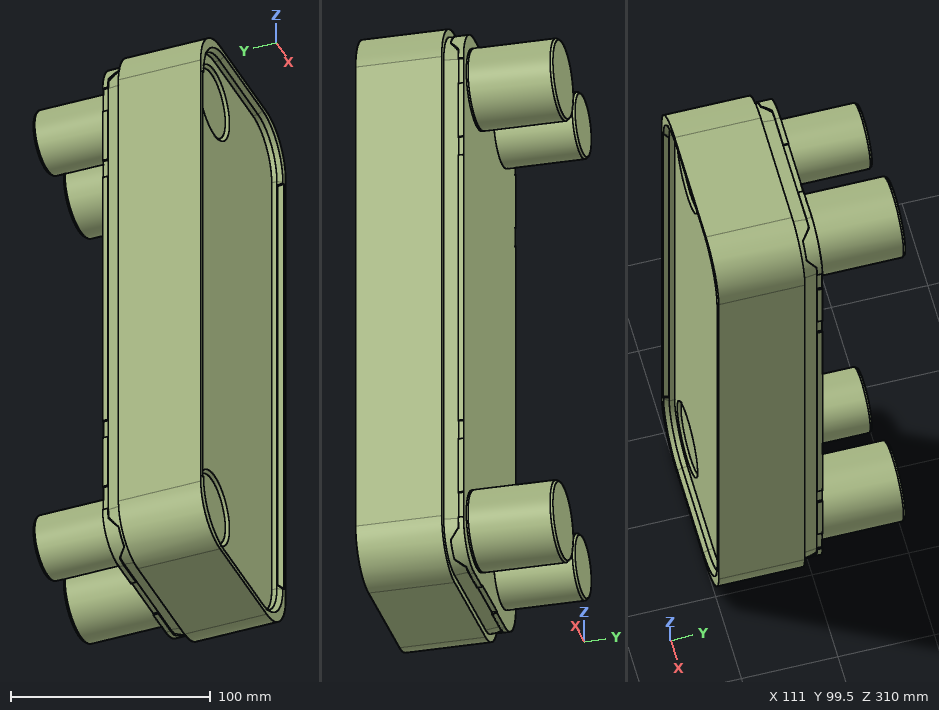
import cadquery as cq
import math


WIDTH = 111.0
HEIGHT = 310.0
CORNER_RADIUS = 25.0
PACK_DEPTH = 44.5
SHOULDER = 4.0
SKIRT_TOP_Y = 52.0
SKIRT_TAPER = 7.0

RECESS_WIDTH = 103.5
RECESS_HEIGHT = 304.5
RECESS_RADIUS = 26.7
RECESS_LEAD_DEPTH = 2.5
RECESS_LEAD_INSET = 2.0
RECESS_WALL_DEPTH = 2.8
SIDE_RELIEF = 1.0

PLATE_THICKNESS = 2.8
DIMPLE_DIAMETER = 39.7
DIMPLE_FLOOR_DIAMETER = 36.3
DIMPLE_DEPTH = 1.5

TAB_DEPTH = 4.5
TAB_ROOT_WIDTH = 21.0
TAB_END_WIDTH = 10.2
NOTCH_DEPTH = 1.0
END_NOTCH_LENGTH = 29.0
SIDE_NOTCH_LENGTH = 10.5
SIDE_NOTCH_Z = 80.3
CORNER_NOTCH_INNER_Z = 115.5
BOSS_HEIGHT = 1.0

PORT_X = 25.0
PORT_Z = 125.0
SMALL_PIPE_DIAMETER = 34.0
SMALL_PIPE_TIP_Y = 96.7
LARGE_PIPE_DIAMETER = 42.0
LARGE_PIPE_TIP_Y = 99.5
TIP_CHAMFER_LENGTH = 1.2
TIP_CHAMFER_INSET = 1.0

CORNER_X = WIDTH / 2 - CORNER_RADIUS
CORNER_Z = HEIGHT / 2 - CORNER_RADIUS
SKIRT_WIDTH = WIDTH - 2 * SHOULDER
SKIRT_HEIGHT = HEIGHT - 2 * SHOULDER
SKIRT_RADIUS = CORNER_RADIUS - SHOULDER
RECESS_LEAD_TAPER = math.degrees(math.atan2(RECESS_LEAD_INSET, RECESS_LEAD_DEPTH))
FRONT_PLATE_Y = RECESS_LEAD_DEPTH + RECESS_WALL_DEPTH
BACK_Y = SKIRT_TOP_Y + PLATE_THICKNESS


def facing_back(y):
    """Workplane at depth y that extrudes towards +Y."""
    return cq.Workplane(cq.Plane(origin=(0, y, 0), xDir=(1, 0, 0), normal=(0, 1, 0)))


def rounded_slab(width, height, radius, y, depth, taper=0):
    """Rounded rectangle extruded towards +Y, narrowing by the taper angle."""
    outline = cq.Sketch().rect(width, height).vertices().fillet(radius)
    return facing_back(y).placeSketch(outline).extrude(depth, taper=taper)


def cylinder(x, z, diameter, y, depth):
    return facing_back(y).center(x, -z).circle(diameter / 2).extrude(depth)


def recess_slab(inset, y, depth, taper=0):
    """Slab with the outline of the recess, set in by the inset all round."""
    return rounded_slab(
        RECESS_WIDTH - 2 * inset, RECESS_HEIGHT - 2 * inset, RECESS_RADIUS - inset, y, depth, taper
    )


def make_front_plate():
    plate = recess_slab(RECESS_LEAD_INSET, FRONT_PLATE_Y, PLATE_THICKNESS)
    for z in (-PORT_Z, PORT_Z):
        dimple = (
            facing_back(FRONT_PLATE_Y)
            .center(-PORT_X, -z)
            .circle(DIMPLE_DIAMETER / 2)
            .workplane(offset=DIMPLE_DEPTH)
            .circle(DIMPLE_FLOOR_DIAMETER / 2)
            .loft()
        )
        plate = plate.cut(dimple)
    return plate


def make_core():
    pack = rounded_slab(WIDTH, HEIGHT, CORNER_RADIUS, 0, PACK_DEPTH)
    skirt = rounded_slab(
        SKIRT_WIDTH, SKIRT_HEIGHT, SKIRT_RADIUS, PACK_DEPTH, SKIRT_TOP_Y - PACK_DEPTH, SKIRT_TAPER
    )
    lead_in = recess_slab(0, 0, RECESS_LEAD_DEPTH, RECESS_LEAD_TAPER)
    side_relief = (
        facing_back(0)
        .rect(RECESS_WIDTH + 2 * SIDE_RELIEF, 2 * PORT_Z)
        .extrude(RECESS_LEAD_DEPTH, taper=RECESS_LEAD_TAPER)
    )
    straight_wall = recess_slab(
        RECESS_LEAD_INSET, RECESS_LEAD_DEPTH, RECESS_WALL_DEPTH + PLATE_THICKNESS
    )
    return pack.union(skirt).cut(lead_in).cut(side_relief).cut(straight_wall)


def make_corner_tab(side_x, side_z, core):
    """Trapezoidal tab that stands upright over the tapered corner of the skirt."""
    corner_plane = cq.Plane(
        origin=(side_x * CORNER_X, SKIRT_TOP_Y, side_z * CORNER_Z),
        xDir=(side_z, 0, -side_x),
        normal=(side_x, 0, side_z),
    )
    wedge = (
        cq.Workplane(corner_plane)
        .polyline([
            (-TAB_ROOT_WIDTH / 2, 0),
            (TAB_ROOT_WIDTH / 2, 0),
            (TAB_END_WIDTH / 2, -TAB_DEPTH),
            (-TAB_END_WIDTH / 2, -TAB_DEPTH),
        ])
        .close()
        .extrude(CORNER_RADIUS)
    )
    envelope = rounded_slab(
        SKIRT_WIDTH, SKIRT_HEIGHT, SKIRT_RADIUS, SKIRT_TOP_Y - TAB_DEPTH, TAB_DEPTH
    )
    return envelope.intersect(wedge).cut(core)


def edge_notch(x, z, width, height):
    return facing_back(SKIRT_TOP_Y).center(x, -z).rect(width, height).extrude(PLATE_THICKNESS)


def make_back_plate(core):
    plate = rounded_slab(SKIRT_WIDTH, SKIRT_HEIGHT, SKIRT_RADIUS, SKIRT_TOP_Y, PLATE_THICKNESS)
    corner_notch_length = CORNER_Z - CORNER_NOTCH_INNER_Z
    corner_notch_z = (CORNER_Z + CORNER_NOTCH_INNER_Z) / 2
    for side_z in (-1, 1):
        plate = plate.cut(
            edge_notch(0, side_z * SKIRT_HEIGHT / 2, END_NOTCH_LENGTH, 2 * NOTCH_DEPTH)
        )
        for side_x in (-1, 1):
            edge_x = side_x * SKIRT_WIDTH / 2
            plate = plate.cut(
                edge_notch(edge_x, side_z * SIDE_NOTCH_Z, 2 * NOTCH_DEPTH, SIDE_NOTCH_LENGTH)
            )
            plate = plate.cut(
                edge_notch(edge_x, side_z * corner_notch_z, 2 * NOTCH_DEPTH, corner_notch_length)
            )
            plate = plate.union(make_corner_tab(side_x, side_z, core))
        plate = plate.union(
            cylinder(PORT_X, side_z * PORT_Z, LARGE_PIPE_DIAMETER, BACK_Y, BOSS_HEIGHT)
        )
    return plate


def make_pipe(x, z, diameter, base_y, tip_y):
    pipe = cylinder(x, z, diameter, base_y, tip_y - base_y)
    return pipe.faces(">Y").chamfer(TIP_CHAMFER_LENGTH, TIP_CHAMFER_INSET)


core = make_core()
front_plate = make_front_plate()
back_plate = make_back_plate(core)

pipes = []
for port_z in (-PORT_Z, PORT_Z):
    small_pipe = make_pipe(-PORT_X, port_z, SMALL_PIPE_DIAMETER, BACK_Y, SMALL_PIPE_TIP_Y)
    large_pipe = make_pipe(
        PORT_X, port_z, LARGE_PIPE_DIAMETER, BACK_Y + BOSS_HEIGHT, LARGE_PIPE_TIP_Y
    )
    pipes.append(small_pipe.val())
    pipes.append(large_pipe.val())

result = cq.Compound.makeCompound([core.val(), front_plate.val(), back_plate.val(), *pipes])